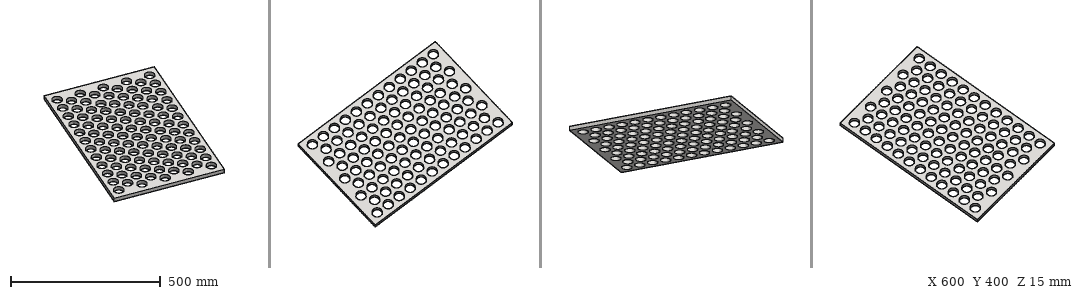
import cadquery as cq

length = 600
width = 400.0
thickness = 15.0

hole_diameter = 35.0
column_pitch = 48.0
row_pitch = 42.0
row_count = 9
long_row_holes = 12

hole_shifts = {
    (3, 1): (5.0, 0.5),
    (4, 4): (-2.0, 0),
    (5, 0): (0, -1.0),
    (5, 6): (0, -1.0),
    (6, 3): (-2.0, -1.0),
    (8, 3): (1.0, 1.0),
}


def hole_centres():
    """Centres of all holes, row by row from the -Y side."""
    centres = []
    for row in range(row_count):
        holes_in_row = long_row_holes - row % 2
        first_x = -(holes_in_row - 1) * column_pitch / 2
        y = (row - (row_count - 1) / 2) * row_pitch
        for hole in range(holes_in_row):
            x = first_x + hole * column_pitch
            shift_x, shift_y = hole_shifts.get((row, hole), (0, 0))
            centres.append((x + shift_x, y + shift_y))
    return centres


plate = cq.Workplane("XY").box(length, width, thickness)
result = plate.faces(">Z").workplane().pushPoints(hole_centres()).hole(hole_diameter)